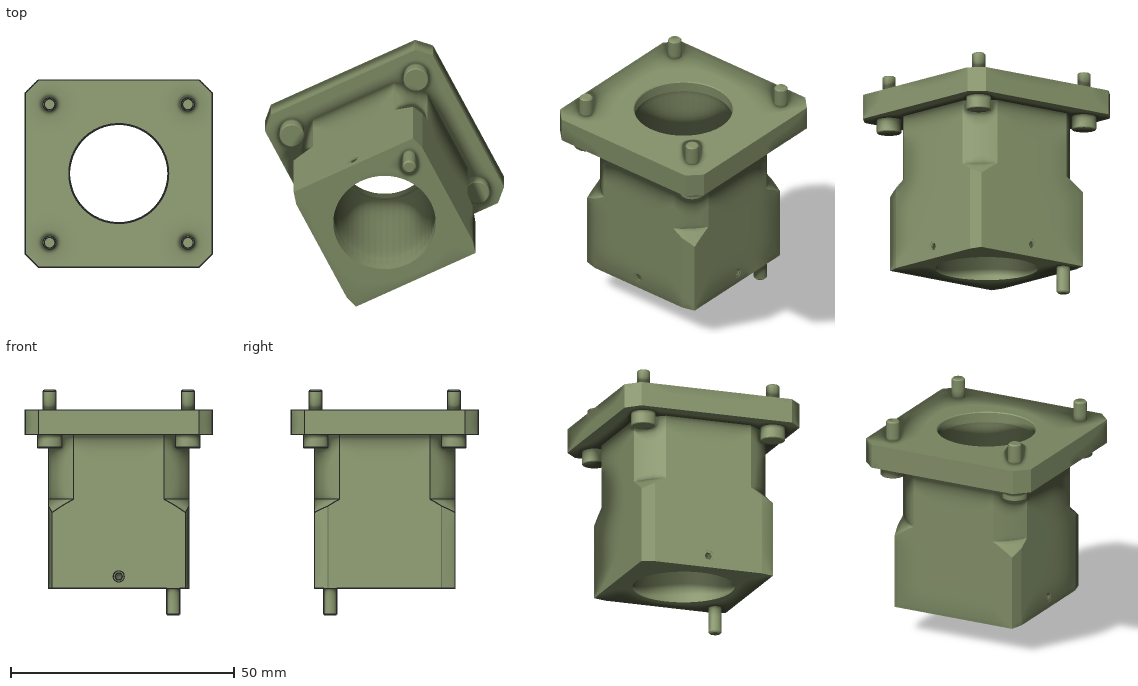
import cadquery as cq
import math

plate_side = 42.0
plate_thickness = 5.5
plate_corner_cut = 3.0

body_side = 31.5
body_height = 34.5
body_corner_cut_x = 0.8
body_corner_cut_y = 3.0
neck_radius = 18.75
neck_height = 14.5

lip_diameter = 22.0
lip_depth = 2.45
lip_chamfer = 0.2
bore_diameter = 23.0

screw_spacing = 31.0
screw_diameter = 3.0
screw_tip_length = 4.5
screw_tip_chamfer = 0.3
screw_head_diameter = 5.5
screw_head_height = 3.0
screw_head_chamfer = 0.15
stud_offset = 12.2
stud_length = 6.0

set_screw_diameter = 2.45
set_screw_recess = 0.1
set_screw_height = 2.7
socket_across_flats = 1.5
socket_depth = 1.0
socket_cone_half_angle = 59
hexagon_half_angle = 30

plate_bottom = -plate_thickness
body_bottom = plate_bottom - body_height
shoulder_z = plate_bottom - neck_height


def cylinder(diameter, height, x, y, z):
    """Upright cylinder with its lower face at height z."""
    return cq.Workplane("XY", origin=(x, y, z)).circle(diameter / 2).extrude(height)


def make_plate():
    plate = cq.Workplane("XY", origin=(0, 0, plate_bottom)).rect(plate_side, plate_side)
    return plate.extrude(plate_thickness).edges("|Z").chamfer(plate_corner_cut)


def make_body():
    """Square prism with unequal corner cuts, its upper corners turned down to a 45 degree shoulder."""
    half = body_side / 2
    near_x = half - body_corner_cut_x
    near_y = half - body_corner_cut_y
    outline = [
        (near_x, -half),
        (half, -near_y),
        (half, near_y),
        (near_x, half),
        (-near_x, half),
        (-half, near_y),
        (-half, -near_y),
        (-near_x, -half),
    ]
    prism = cq.Workplane("XY", origin=(0, 0, body_bottom)).polyline(outline).close().extrude(body_height)

    envelope_radius = body_side
    shoulder_drop = envelope_radius - neck_radius
    envelope = (
        cq.Workplane("XZ")
        .moveTo(0, plate_bottom)
        .lineTo(neck_radius, plate_bottom)
        .lineTo(neck_radius, shoulder_z)
        .lineTo(envelope_radius, shoulder_z - shoulder_drop)
        .lineTo(envelope_radius, body_bottom)
        .lineTo(0, body_bottom)
        .close()
        .revolve(360, (0, 0, 0), (0, 1, 0))
    )
    return prism.intersect(envelope)


def make_bore():
    """Cutter for the lip, its entry chamfer and the wider bore below."""
    lip_radius = lip_diameter / 2
    bore_radius = bore_diameter / 2
    return (
        cq.Workplane("XZ")
        .moveTo(0, 0)
        .lineTo(lip_radius + lip_chamfer, 0)
        .lineTo(lip_radius, -lip_chamfer)
        .lineTo(lip_radius, -lip_depth)
        .lineTo(bore_radius, -lip_depth)
        .lineTo(bore_radius, body_bottom)
        .lineTo(0, body_bottom)
        .close()
        .revolve(360, (0, 0, 0), (0, 1, 0))
    )


def make_screw(x, y):
    shank = cylinder(screw_diameter, plate_thickness + screw_tip_length, x, y, plate_bottom)
    shank = shank.faces(">Z").chamfer(screw_tip_chamfer)
    head = cylinder(screw_head_diameter, screw_head_height, x, y, plate_bottom - screw_head_height)
    head = head.faces("<Z").chamfer(screw_head_chamfer)
    return shank.union(head)


def make_stud():
    stud = cylinder(screw_diameter, stud_length, stud_offset, -stud_offset, body_bottom - stud_length)
    return stud.faces("<Z").chamfer(screw_tip_chamfer)


def make_set_screw_socket():
    """Cutter on the -Y face: shallow round recess, hexagon socket and a drill-point cone."""
    z = body_bottom + set_screw_height
    recess_floor = -body_side / 2 + set_screw_recess
    socket_floor = recess_floor + socket_depth
    socket_corner_diameter = socket_across_flats / math.cos(math.radians(hexagon_half_angle))
    cone_radius = socket_across_flats / 2
    cone_depth = cone_radius / math.tan(math.radians(socket_cone_half_angle))

    recess = cq.Workplane("XZ", origin=(0, recess_floor, z)).circle(set_screw_diameter / 2)
    recess = recess.extrude(set_screw_recess)
    socket = cq.Workplane("XZ", origin=(0, socket_floor, z)).polygon(6, socket_corner_diameter)
    socket = socket.extrude(socket_depth)
    cone = cq.Solid.makeCone(
        cone_radius, 0, cone_depth, cq.Vector(0, socket_floor, z), cq.Vector(0, 1, 0)
    )
    return recess.union(socket).union(cq.Workplane(cone))


result = make_plate().union(make_body()).cut(make_bore())

screw_offset = screw_spacing / 2
for x in (-screw_offset, screw_offset):
    for y in (-screw_offset, screw_offset):
        result = result.union(make_screw(x, y))

result = result.union(make_stud())

front_socket = make_set_screw_socket()
left_socket = front_socket.rotate((0, 0, 0), (0, 0, 1), -90)
result = result.cut(front_socket).cut(left_socket)